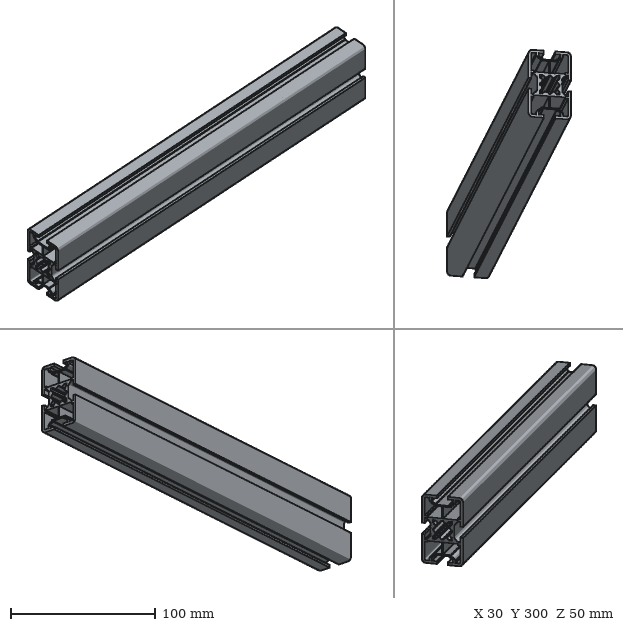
import cadquery as cq
import math

length = 300.0
width = 30.0
height = 50.0

wall = 2.0
corner_radius = 3.0
slot_width = 8.0

core_size = 17.5
core_wall = 1.8
tooth_height = 1.8
tooth_offset = 2.7
tooth_base = 4.8
tooth_tip = 1.0

arm_thickness = 1.0
arm_step_width = 1.8
arm_step_height = 1.0
core_gusset = 3.0
gusset_blend_radius = 1.8

channel_depth = 6.5
channel_floor = 1.05
channel_floor_width = 12.0
channel_mouth = 15.3
channel_root = 1.8
channel_step_x = 4.8
bend_center_x = 4.0
bend_center_depth = 1.0
bend_inner_radius = 5.0
bend_wall = 1.2
rib_thickness = 1.05

half_width = width / 2
half_height = height / 2
half_core = core_size / 2
inner_x = half_width - wall
inner_z = half_height - wall
bore_half = half_core - core_wall


def section():
    """Sketch plane across the profile: local x is X, local y is Z."""
    return cq.Workplane("XZ")


def extrude(outline):
    return outline.extrude(length / 2, both=True)


def bar(x_size, z_size, x=0, z=0):
    return extrude(section().center(x, z).rect(x_size, z_size))


def in_all_quarters(body):
    """Join a body with its mirror images across the X and Z middle planes."""
    pair = body.union(body.mirror("YZ"))
    return pair.union(pair.mirror("XY"))


def make_shell():
    """Rounded tube opened by one slot in the middle of every side."""
    outer = bar(width, height).edges("|Y").fillet(corner_radius)
    cavity = bar(2 * inner_x, 2 * inner_z).edges("|Y").fillet(corner_radius - wall)
    side_slots = bar(width, slot_width)
    end_slots = bar(slot_width, height)
    return outer.cut(cavity).cut(side_slots).cut(end_slots)


def make_arm():
    """Thin arm at the core's top, with a 45 degree gusset at the core and a step at the wall."""
    arm_bottom = half_core - arm_thickness
    step_x = inner_x - arm_step_width
    gusset_x = half_core + core_gusset
    gusset_bottom = arm_bottom - core_gusset
    blend_length = gusset_blend_radius * math.tan(math.pi / 8)
    blend_rise = blend_length * math.sqrt(0.5)
    blend_bottom = gusset_bottom - blend_length
    return extrude(
        section()
        .moveTo(0, half_core)
        .lineTo(step_x, half_core)
        .lineTo(step_x, half_core + arm_step_height)
        .lineTo(inner_x + wall / 2, half_core + arm_step_height)
        .lineTo(inner_x + wall / 2, arm_bottom)
        .lineTo(gusset_x, arm_bottom)
        .lineTo(half_core + blend_rise, gusset_bottom + blend_rise)
        .radiusArc((half_core, blend_bottom), -gusset_blend_radius)
        .lineTo(0, blend_bottom)
        .close()
    )


def bend_z(radius, x):
    """Height of the channel bend, of the given radius, at one x position."""
    drop = math.sqrt(radius**2 - (x - bend_center_x) ** 2)
    return half_height - bend_center_depth - drop


def make_channel_quarter():
    """Floor, curved wall and rib behind one half of the top slot."""
    floor_top = half_height - channel_depth
    floor_bottom = floor_top - channel_floor
    floor_x = channel_floor_width / 2
    inside_x = channel_mouth / 2
    outside_x = inside_x + channel_root
    root_z = inner_z + wall / 2
    inner_radius = bend_inner_radius
    outer_radius = bend_inner_radius + bend_wall

    channel = extrude(
        section()
        .moveTo(0, floor_top)
        .lineTo(channel_step_x, floor_top)
        .lineTo(channel_step_x, bend_z(inner_radius, channel_step_x))
        .radiusArc((inside_x, bend_z(inner_radius, inside_x)), -inner_radius)
        .lineTo(inside_x, root_z)
        .lineTo(outside_x, root_z)
        .lineTo(outside_x, bend_z(outer_radius, outside_x))
        .radiusArc((floor_x, bend_z(outer_radius, floor_x)), outer_radius)
        .lineTo(floor_x, floor_bottom)
        .lineTo(0, floor_bottom)
        .close()
    )
    rib_height = floor_top - half_core
    rib = bar(rib_thickness, rib_height, z=half_core + rib_height / 2)
    return channel.union(rib)


def make_bore():
    """Square bore with two pointed teeth left standing on every side."""
    tooth = extrude(
        section()
        .moveTo(tooth_offset - tooth_base / 2, bore_half)
        .lineTo(tooth_offset - tooth_tip / 2, bore_half - tooth_height)
        .lineTo(tooth_offset + tooth_tip / 2, bore_half - tooth_height)
        .lineTo(tooth_offset + tooth_base / 2, bore_half)
        .close()
    )
    tooth_pair = tooth.union(tooth.mirror("YZ"))
    bore = bar(2 * bore_half, 2 * bore_half)
    for side in range(4):
        bore = bore.cut(tooth_pair.rotate((0, 0, 0), (0, 1, 0), 90 * side))
    return bore


result = (
    make_shell()
    .union(bar(core_size, core_size))
    .union(in_all_quarters(make_arm()))
    .union(in_all_quarters(make_channel_quarter()))
    .cut(make_bore())
)